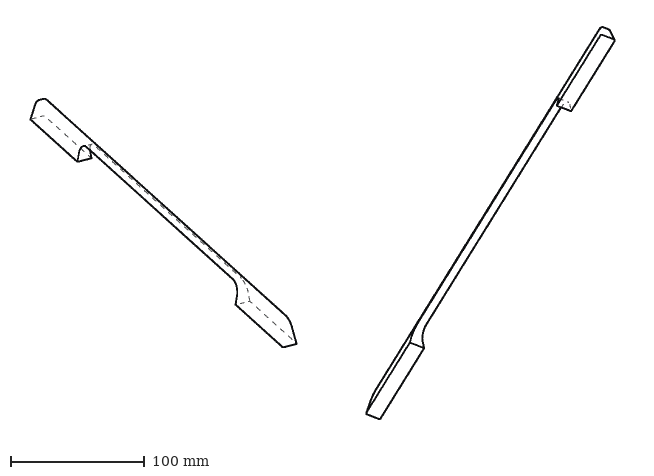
import cadquery as cq
import math

length = 400.0
base_width = 12.0
height = 20.0

foot_length = 75.0
grip_thickness = 3.5
inner_radius = 9.0
end_radius = 9.0
end_lean = 13.0

top_width = 5.0
edge_radius = 1.0

half_length = length / 2
foot_inner_x = half_length - foot_length
grip_bottom = height - grip_thickness
end_top_x = half_length - height * math.tan(math.radians(end_lean))


def side_solid():
    """Handle outline in XZ, extruded over the full base width."""
    blank = (
        cq.Workplane("XZ")
        .polyline([(-half_length, 0), (half_length, 0), (end_top_x, height), (-end_top_x, height)])
        .close()
        .extrude(base_width / 2, both=True)
        .edges("|Y and >Z")
        .fillet(end_radius)
    )
    opening = (
        cq.Workplane("XY")
        .box(2 * foot_inner_x, base_width, grip_bottom, centered=(True, True, False))
        .edges("|Y and >Z")
        .fillet(inner_radius)
    )
    return blank.cut(opening)


def tapered_envelope():
    """Trapezoidal cross-section in YZ along the whole length."""
    return (
        cq.Workplane("YZ")
        .polyline([
            (-base_width / 2, 0),
            (base_width / 2, 0),
            (top_width / 2, height),
            (-top_width / 2, height),
        ])
        .close()
        .extrude(half_length, both=True)
    )


def round_outer_edges(handle):
    """Round the long top edges and the end edges that run tangentially into them."""
    return handle.edges("|X and >Z").fillet(edge_radius)


result = round_outer_edges(side_solid().intersect(tapered_envelope()))